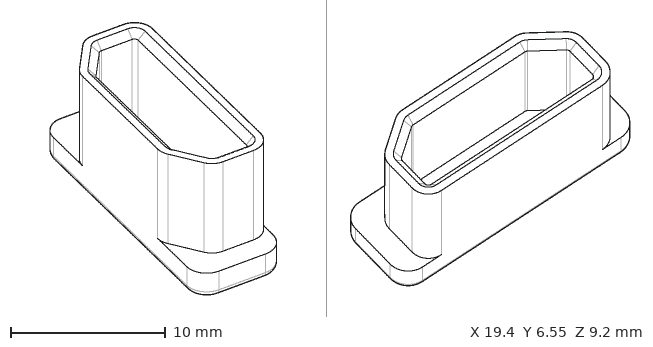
import cadquery as cq

depth = 6.55
base_length = 19.4
base_height = 2.0
base_corner_radius = 1.5
base_bottom_fillet = 0.5

total_height = 9.2
shell_length = 16.0
slope_run = 2.93
slope_rise = 2.17
shell_corner_radius = 1.355
wall_thickness = 1.075
rim_chamfer = 0.525

shell_height = total_height - base_height


def make_base():
    """Flat flange with rounded corners and a rounded bottom edge."""
    return (
        cq.Workplane("XY")
        .rect(base_length, depth)
        .extrude(base_height)
        .edges("|Z")
        .fillet(base_corner_radius)
        .faces("<Z")
        .edges()
        .fillet(base_bottom_fillet)
    )


def make_shell_prism(inset):
    """Prism from flange top to rim: straight back, sloped front corners, moved inward by the inset."""
    half_length = shell_length / 2
    front_half_length = half_length - slope_run
    back_y = depth / 2
    front_y = -back_y
    slope_top_y = front_y + slope_rise
    outline = (
        cq.Workplane("XY", origin=(0, 0, base_height))
        .polyline([
            (-front_half_length, front_y),
            (front_half_length, front_y),
            (half_length, slope_top_y),
            (half_length, back_y),
            (-half_length, back_y),
            (-half_length, slope_top_y),
        ])
        .close()
    )
    if inset > 0:
        outline = outline.offset2D(-inset, "intersection")
    return outline.extrude(shell_height).edges("|Z").fillet(shell_corner_radius - inset)


def flare_rim(socket):
    """Chamfer the inner edge loop of the open top face."""
    inner_loop = socket.faces(">Z").val().innerWires()[0]
    return socket.newObject(inner_loop.Edges()).chamfer(rim_chamfer)


shell = make_shell_prism(0)
cavity = make_shell_prism(wall_thickness)
result = flare_rim(make_base().union(shell).cut(cavity))